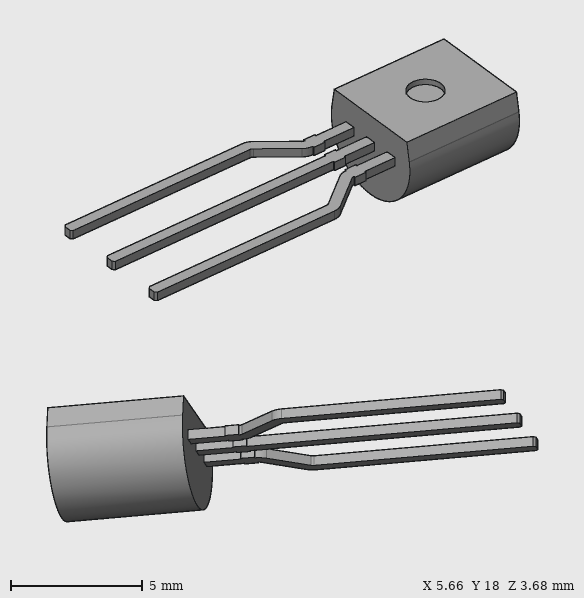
import cadquery as cq
import math

OVERALL_LENGTH = 18.04
OVERALL_WIDTH = 5.66
OVERALL_HEIGHT = 3.68

HOUSING_LENGTH = 5.34
HOUSING_RADIUS = 2.42
SIDE_DRAFT = math.radians(10)
FLAT_Z = OVERALL_HEIGHT - HOUSING_RADIUS
DIMPLE_DIAMETER = 1.5
DIMPLE_DEPTH = 0.25

LEAD_LENGTH = OVERALL_LENGTH - HOUSING_LENGTH
LEAD_WIDTH = 0.49
LEAD_THICKNESS = 0.4
LEAD_Z = -0.05
TIP_CHAMFER = 0.09
COLLAR_WIDTH = 0.63
COLLAR_START = 1.46
COLLAR_LENGTH = 0.55
COLLAR_END = COLLAR_START + COLLAR_LENGTH

ROOT_PITCH = 1.26
TIP_PITCH = (OVERALL_WIDTH - LEAD_WIDTH) / 2
BEND_ANGLE = math.radians(38)
BEND_INNER_RADIUS = 0.2
BEND_OUTER_RADIUS = BEND_INNER_RADIUS + LEAD_WIDTH
BEND_MID_RADIUS = BEND_INNER_RADIUS + LEAD_WIDTH / 2


def make_housing():
    shoulder_x = HOUSING_RADIUS * math.cos(SIDE_DRAFT)
    shoulder_z = HOUSING_RADIUS * math.sin(SIDE_DRAFT)
    flat_x = shoulder_x - (FLAT_Z - shoulder_z) * math.tan(SIDE_DRAFT)
    body = (
        cq.Workplane("XZ")
        .moveTo(-flat_x, FLAT_Z)
        .lineTo(-shoulder_x, shoulder_z)
        .threePointArc((0, -HOUSING_RADIUS), (shoulder_x, shoulder_z))
        .lineTo(flat_x, FLAT_Z)
        .close()
        .extrude(-HOUSING_LENGTH)
    )
    dimple = (
        cq.Workplane("XY", origin=(0, HOUSING_LENGTH / 2, FLAT_Z - DIMPLE_DEPTH))
        .circle(DIMPLE_DIAMETER / 2)
        .extrude(DIMPLE_DEPTH)
    )
    return body.cut(dimple)


def lead_plane():
    return cq.Workplane("XY", origin=(0, 0, LEAD_Z - LEAD_THICKNESS / 2))


def finish_lead(strip, root_x):
    """Chamfer the tip's sides and add the collar."""
    chamfered = strip.faces("<Y").edges("|Z").chamfer(TIP_CHAMFER)
    collar = (
        lead_plane()
        .center(root_x, -COLLAR_START - COLLAR_LENGTH / 2)
        .rect(COLLAR_WIDTH, COLLAR_LENGTH)
        .extrude(LEAD_THICKNESS)
    )
    return chamfered.union(collar)


def make_middle_lead():
    strip = (
        lead_plane()
        .center(0, -LEAD_LENGTH / 2)
        .rect(LEAD_WIDTH, LEAD_LENGTH)
        .extrude(LEAD_THICKNESS)
    )
    return finish_lead(strip, 0)


def make_outer_lead(side):
    """Bent lead; side is -1 for the -X lead and +1 for the +X lead."""
    half_width = LEAD_WIDTH / 2
    miter = half_width * math.tan(BEND_ANGLE / 2)
    upper_y = -COLLAR_END - BEND_MID_RADIUS * math.tan(BEND_ANGLE / 2)
    lower_y = upper_y - (TIP_PITCH - ROOT_PITCH) / math.tan(BEND_ANGLE)

    def edge(sign):
        root_x = side * (ROOT_PITCH + sign * half_width)
        tip_x = side * (TIP_PITCH + sign * half_width)
        return [
            (root_x, 0),
            (root_x, upper_y + sign * miter),
            (tip_x, lower_y + sign * miter),
            (tip_x, -LEAD_LENGTH),
        ]

    outer_edge = edge(1)
    inner_edge = edge(-1)
    strip = lead_plane().polyline(outer_edge + inner_edge[::-1]).close().extrude(LEAD_THICKNESS)

    bends = (
        (outer_edge[1], BEND_INNER_RADIUS),
        (outer_edge[2], BEND_OUTER_RADIUS),
        (inner_edge[1], BEND_OUTER_RADIUS),
        (inner_edge[2], BEND_INNER_RADIUS),
    )
    for (x, y), radius in bends:
        corner = cq.selectors.NearestToPointSelector((x, y, LEAD_Z))
        strip = strip.edges("|Z").edges(corner).fillet(radius)
    return finish_lead(strip, side * ROOT_PITCH)


housing = make_housing()
middle_lead = make_middle_lead()
outer_leads = [make_outer_lead(side) for side in (-1, 1)]

result = cq.Compound.makeCompound(
    [housing.val(), middle_lead.val(), *[lead.val() for lead in outer_leads]]
)